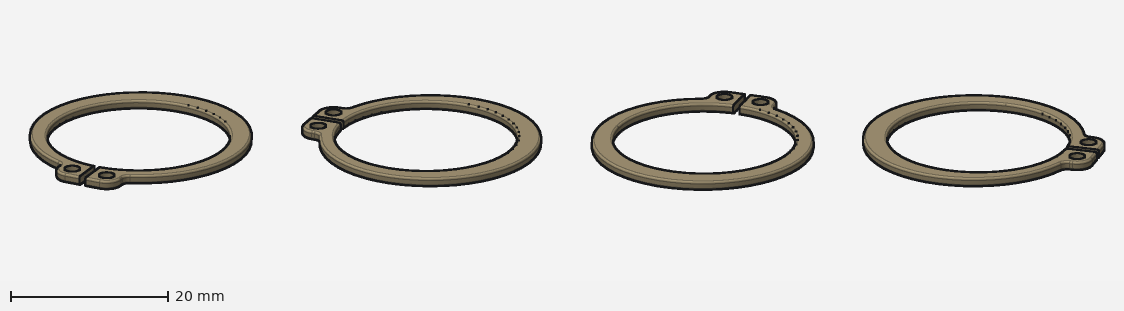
import cadquery as cq
import math

thickness = 1.2
outer_radius = 14.1
inner_radius = 11.6
bore_offset = 0.6
gap_width = 0.84
edge_round = 0.3

hole_diameter = 2.0
hole_x = 2.45
lug_end_y = -16.49
lug_corner_radius = 2.03
neck_radius = 1.0
lug_side_x = hole_x + lug_corner_radius
hole_y = lug_end_y + lug_corner_radius

neck_x = lug_side_x + neck_radius
neck_distance = outer_radius + neck_radius
neck_y = -math.sqrt(neck_distance**2 - neck_x**2)
ring_tangent_x = neck_x * outer_radius / neck_distance
ring_tangent_y = neck_y * outer_radius / neck_distance


def arc_point(center_x, center_y, radius, angle):
    """Point on a circle at an angle in radians."""
    return (center_x + radius * math.cos(angle), center_y + radius * math.sin(angle))


def make_blank():
    """Disc with the lug block, necks and round lug corners."""
    neck_end_angle = math.atan2(-neck_y, -neck_x)
    neck_middle = arc_point(neck_x, neck_y, neck_radius, (neck_end_angle + math.pi) / 2)
    corner_middle = arc_point(hole_x, hole_y, lug_corner_radius, -math.pi / 4)
    return (
        cq.Workplane("XY")
        .workplane(offset=-thickness / 2)
        .moveTo(0, outer_radius)
        .threePointArc((outer_radius, 0), (ring_tangent_x, ring_tangent_y))
        .threePointArc(neck_middle, (lug_side_x, neck_y))
        .lineTo(lug_side_x, hole_y)
        .threePointArc(corner_middle, (hole_x, lug_end_y))
        .lineTo(-hole_x, lug_end_y)
        .threePointArc((-corner_middle[0], corner_middle[1]), (-lug_side_x, hole_y))
        .lineTo(-lug_side_x, neck_y)
        .threePointArc((-neck_middle[0], neck_middle[1]), (-ring_tangent_x, ring_tangent_y))
        .threePointArc((-outer_radius, 0), (0, outer_radius))
        .close()
        .extrude(thickness)
    )


def cut_bore(body):
    """Cut the eccentric bore, which thins the ring toward the lugs."""
    bore = (
        cq.Workplane("XY")
        .center(0, -bore_offset)
        .circle(inner_radius)
        .extrude(thickness, both=True)
    )
    return body.cut(bore)


def round_rims(body):
    """Round the bore and outer edges of both flat faces."""
    return body.faces("<Z or >Z").edges().fillet(edge_round)


def cut_gap(body):
    """Separate the lugs with a square-edged opening."""
    gap_length = abs(lug_end_y)
    gap = cq.Workplane("XY").box(gap_width, gap_length, thickness)
    return body.cut(gap.translate((0, -gap_length / 2, 0)))


def cut_lug_holes(body):
    """Cut the plain plier holes through both lugs."""
    holes = (
        cq.Workplane("XY")
        .pushPoints([(side * hole_x, hole_y) for side in (-1, 1)])
        .circle(hole_diameter / 2)
        .extrude(thickness, both=True)
    )
    return body.cut(holes)


ring = cut_bore(make_blank())
ring = round_rims(ring)
ring = cut_gap(ring)
result = cut_lug_holes(ring)